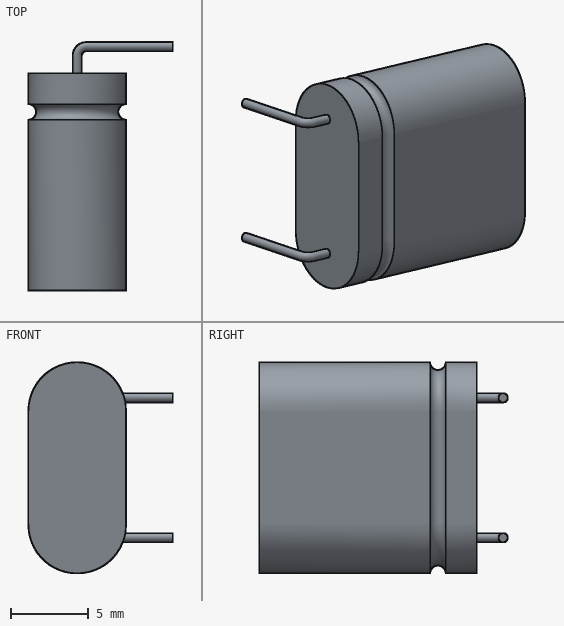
import cadquery as cq

can_width = 6.3
can_height = 13.6
can_length = 14.0

groove_radius = 0.5
groove_from_lead_end = 2.5

lead_diameter = 0.6
lead_pitch = 9.0
lead_standoff = 2.0
lead_reach = 6.15
bend_radius = 0.6
lead_embed = 0.5


def capsule_prism(width, height, length, y_start):
    """Capsule-section prism extending from y_start towards +Y."""
    return (
        cq.Workplane("XZ", origin=(0, y_start, 0))
        .slot2D(height, width, 90)
        .extrude(-length)
    )


def make_groove_cutter():
    """Round bead swept along the capsule outline of the can."""
    groove_y = can_length - groove_from_lead_end
    half_width = can_width / 2
    half_flat = (can_height - can_width) / 2
    outline = (
        cq.Workplane("XZ", origin=(0, groove_y, 0))
        .moveTo(half_width, 0)
        .lineTo(half_width, half_flat)
        .threePointArc((0, can_height / 2), (-half_width, half_flat))
        .lineTo(-half_width, -half_flat)
        .threePointArc((0, -can_height / 2), (half_width, -half_flat))
        .close()
    )
    return (
        cq.Workplane("XY", origin=(half_width, groove_y, 0))
        .circle(groove_radius)
        .sweep(outline)
    )


def make_lead(z):
    """Wire leaving the can along +Y, then bent a quarter turn towards +X."""
    wire_y = can_length + lead_standoff - lead_diameter / 2
    root_y = can_length - lead_embed
    path = (
        cq.Workplane("XY", origin=(0, 0, z))
        .moveTo(0, root_y)
        .lineTo(0, wire_y - bend_radius)
        .radiusArc((bend_radius, wire_y), bend_radius)
        .lineTo(lead_reach, wire_y)
    )
    return (
        cq.Workplane("XZ", origin=(0, root_y, z))
        .circle(lead_diameter / 2)
        .sweep(path)
    )


can = capsule_prism(can_width, can_height, can_length, 0)
result = can.cut(make_groove_cutter())
for lead_z in (-lead_pitch / 2, lead_pitch / 2):
    result = result.union(make_lead(lead_z))